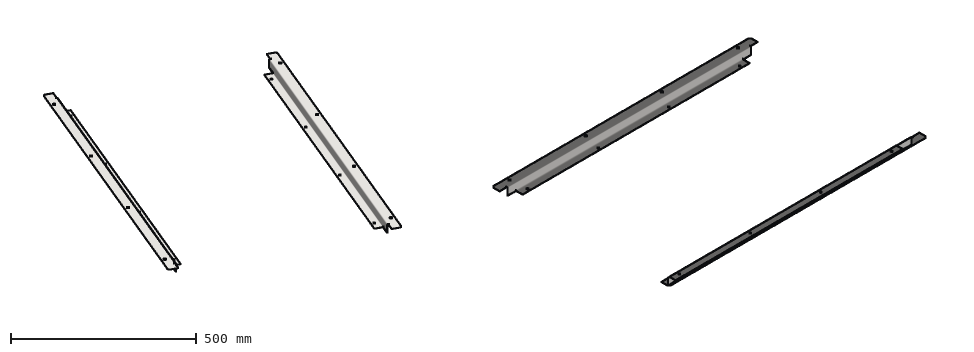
import cadquery as cq

length = 991.0
overall_width = 670.0
rail_height = 28.0

thickness = 1.5
inner_bend_radius = 2.0
outer_bend_radius = inner_bend_radius + thickness

rail_depth = 57.0
web_inner_face = 33.0
web_outer_face = web_inner_face - thickness
top_bend_start = web_inner_face - outer_bend_radius

web_length = 935.0
lower_flange_length = 872.0
corner_radius = 7.0

relief_width = 1.0
relief_depth = 3.0

holes_per_row = 4
top_hole_diameter = 7.1
top_hole_pitch = 292.0
top_hole_edge_distance = 11.0
lower_hole_diameter = 5.5
lower_hole_pitch = 271.0
lower_hole_edge_distance = 10.0


def extruded(outline, extent):
    """Prism of a YZ outline, centred on X = 0."""
    return cq.Workplane("YZ").polyline(outline).close().extrude(extent / 2, both=True)


def round_bend(body, outer_corner, inner_corner):
    """Round the two lengthwise edges of one bend, given as (y, z) corners."""
    for (y, z), radius in ((outer_corner, outer_bend_radius), (inner_corner, inner_bend_radius)):
        body = body.edges(cq.selectors.NearestToPointSelector((0, y, z))).fillet(radius)
    return body


def round_top_bend(body):
    """Round the bend between the top flange and the web."""
    return round_bend(body, (web_inner_face, 0), (web_outer_face, -thickness))


def angle_section():
    """Top flange bent into a flat web that reaches the underside of the rail."""
    outline = [
        (0, 0),
        (0, -thickness),
        (web_outer_face, -thickness),
        (web_outer_face, -rail_height),
        (web_inner_face, -rail_height),
        (web_inner_face, 0),
    ]
    return round_top_bend(extruded(outline, web_length))


def z_section():
    """Top flange, web and lower flange joined by two rounded bends."""
    outline = [
        (0, 0),
        (0, -thickness),
        (web_outer_face, -thickness),
        (web_outer_face, -rail_height),
        (rail_depth, -rail_height),
        (rail_depth, thickness - rail_height),
        (web_inner_face, thickness - rail_height),
        (web_inner_face, 0),
    ]
    section = round_top_bend(extruded(outline, lower_flange_length))
    return round_bend(
        section, (web_outer_face, -rail_height), (web_inner_face, thickness - rail_height)
    )


def flange_end(side):
    """Flat end of the top flange beyond the web, up to the bend line, with one rounded outer corner."""
    end_length = (length - web_length) / 2
    return (
        cq.Workplane("XY", origin=(side * (length + web_length) / 4, top_bend_start / 2, 0))
        .rect(end_length, top_bend_start)
        .extrude(-thickness)
        .edges("|Z and <Y")
        .edges(">X" if side > 0 else "<X")
        .fillet(corner_radius)
    )


def bend_relief(side):
    """Cutter for the slit between a flange end and the end of the top bend."""
    relief_x = side * (web_length + relief_width) / 2
    return (
        cq.Workplane("XY", origin=(relief_x, top_bend_start - relief_depth / 2, 0))
        .rect(relief_width, relief_depth)
        .extrude(-thickness)
    )


def hole_row(pitch, diameter, y):
    """Row of vertical cutters through the full rail height."""
    return (
        cq.Workplane("XY", origin=(0, y, 0))
        .rarray(pitch, 10, holes_per_row, 1)
        .circle(diameter / 2)
        .extrude(-rail_height)
    )


def make_rail():
    """Front rail, with the outer edge of its top flange at Y = 0."""
    middle = cq.Workplane("XY").box(lower_flange_length, 2 * rail_depth, 2 * rail_height)
    rail = angle_section().cut(middle).union(z_section())
    for side in (-1, 1):
        rail = rail.union(flange_end(side)).cut(bend_relief(side))
    rail = rail.cut(hole_row(top_hole_pitch, top_hole_diameter, top_hole_edge_distance))
    return rail.cut(
        hole_row(lower_hole_pitch, lower_hole_diameter, rail_depth - lower_hole_edge_distance)
    )


rails = []
for angle in (0, 180):
    rail = make_rail().translate((0, -overall_width / 2, 0))
    rails.append(rail.rotate((0, 0, 0), (0, 0, 1), angle).val())

result = cq.Compound.makeCompound(rails)